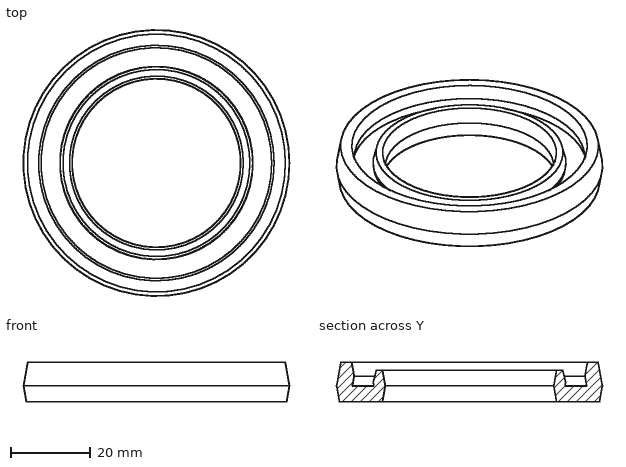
import cadquery as cq
import math

slope = math.tan(math.radians(10))

rim_height = 10.0
inner_lip_height = 8.0
groove_waist_height = 6.5
inner_lip_waist_height = 5.0
mid_height = 4.05

outer_radius = 33.65
groove_waist_radius = 29.15
inner_lip_waist_radius = 48.8 / 2
inner_lip_top_radius = 23.6
bore_waist_radius = 21.3


def lean(start_height, end_height):
    """Radial shift of a sloped wall between two heights."""
    return abs(end_height - start_height) * slope


section = [
    (outer_radius - lean(0, mid_height), 0),
    (outer_radius, mid_height),
    (outer_radius - lean(mid_height, rim_height), rim_height),
    (groove_waist_radius + lean(groove_waist_height, rim_height), rim_height),
    (groove_waist_radius, groove_waist_height),
    (groove_waist_radius + lean(mid_height, groove_waist_height), mid_height),
    (inner_lip_waist_radius - lean(mid_height, inner_lip_waist_height), mid_height),
    (inner_lip_waist_radius, inner_lip_waist_height),
    (inner_lip_top_radius, inner_lip_height),
    (bore_waist_radius + lean(mid_height, inner_lip_height), inner_lip_height),
    (bore_waist_radius, mid_height),
    (bore_waist_radius + lean(0, mid_height), 0),
]

result = cq.Workplane("XZ").polyline(section).close().revolve(360, (0, 0, 0), (0, 1, 0))